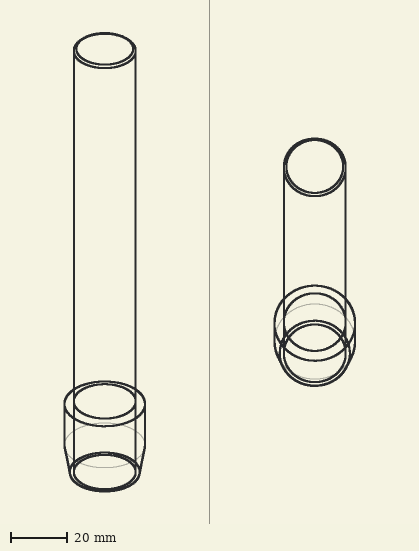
import cadquery as cq

total_length = 180.0

rod_radius = 11.0
rod_chamfer = 0.9

sleeve_radius = 28.6 / 2
sleeve_height = 30.0
shoulder_drop = 1.0
nose_height = 11.3
nose_end_radius = 12.5


def make_rod():
    """Straight rod running the full length, chamfered at its upper end."""
    rod = cq.Workplane("XY").circle(rod_radius).extrude(total_length)
    return rod.faces(">Z").chamfer(rod_chamfer)


def make_sleeve():
    """Turned sleeve with a tapered lower nose, a sloping shoulder and a bore that fits the rod."""
    half_profile = (
        cq.Workplane("XZ")
        .moveTo(rod_radius, 0)
        .lineTo(nose_end_radius, 0)
        .lineTo(sleeve_radius, nose_height)
        .lineTo(sleeve_radius, sleeve_height - shoulder_drop)
        .lineTo(rod_radius, sleeve_height)
        .close()
    )
    return half_profile.revolve(360, (0, 0, 0), (0, 1, 0))


rod = make_rod()
sleeve = make_sleeve()

result = cq.Compound.makeCompound([rod.val(), sleeve.val()])